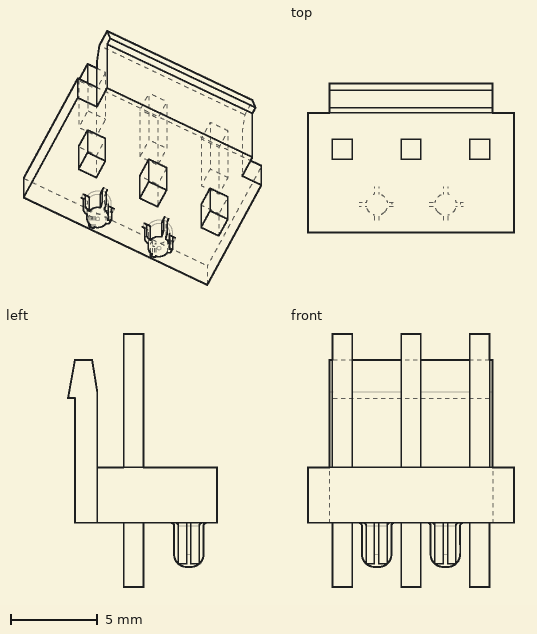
import cadquery as cq
import math


pin_count = 3
pitch = 3.96
pin_size = 1.15
pin_height_above_base = 7.7
pin_length_below_base = 3.7
pin_y = 4.81

base_length = pin_count * pitch
base_depth = 6.9
base_height = 3.2

wall_length = 9.4
wall_thickness = 1.3
wall_height_above_base = 6.2
wall_taper_height = 1.85
wall_taper_depth = 0.3
barb_height = 2.2
barb_depth = 0.4

peg_count = pin_count - 1
peg_y = 1.63
peg_length = 2.55
peg_radius = 0.86
peg_core_radius = 0.62
peg_rib_width = 0.25
peg_tip_radius = 0.75
peg_root_fillet = 0.15


def row_positions(count, y):
    """Points spaced one pitch apart and centred on X = 0."""
    return [((i - (count - 1) / 2) * pitch, y) for i in range(count)]


def make_base():
    return cq.Workplane("XY").box(
        base_length, base_depth, base_height, centered=(True, False, False)
    )


def make_wall():
    """Upright wall with a tapered inner top edge and an outward barb."""
    inner_y = base_depth
    outer_y = base_depth + wall_thickness
    top_z = base_height + wall_height_above_base
    barb_z = top_z - barb_height
    profile = [
        (inner_y, 0),
        (outer_y, 0),
        (outer_y, barb_z),
        (outer_y + barb_depth, barb_z),
        (outer_y, top_z),
        (inner_y + wall_taper_depth, top_z),
        (inner_y, top_z - wall_taper_height),
    ]
    return cq.Workplane("YZ").polyline(profile).close().extrude(wall_length / 2, both=True)


def make_pins():
    """Square pins passing through the base."""
    pin_length = pin_length_below_base + base_height + pin_height_above_base
    return (
        cq.Workplane("XY", origin=(0, 0, -pin_length_below_base))
        .pushPoints(row_positions(pin_count, pin_y))
        .rect(pin_size, pin_size)
        .extrude(pin_length)
    )


def make_flared_cylinder(radius):
    """Cylinder hanging below Z = 0 whose root widens through a concave fillet."""
    flare_radius = radius + peg_root_fillet
    arc_reach = peg_root_fillet * math.cos(math.pi / 4)
    arc_mid = (flare_radius - arc_reach, arc_reach - peg_root_fillet)
    return (
        cq.Workplane("XZ")
        .lineTo(flare_radius, 0)
        .threePointArc(arc_mid, (radius, -peg_root_fillet))
        .lineTo(radius, -peg_length)
        .lineTo(0, -peg_length)
        .close()
        .revolve(360, (0, 0), (0, 1))
    )


def make_peg():
    """Core with four flat-sided ribs, trimmed to a flared envelope with a rounded tip."""
    core = make_flared_cylinder(peg_core_radius)
    envelope = make_flared_cylinder(peg_radius).faces("<Z").edges().fillet(peg_tip_radius)
    rib_span = 2 * (peg_radius + peg_root_fillet)
    ribs_along_x = cq.Workplane("XY").rect(rib_span, peg_rib_width).extrude(-peg_length)
    ribs_along_y = cq.Workplane("XY").rect(peg_rib_width, rib_span).extrude(-peg_length)
    return core.union(ribs_along_x).union(ribs_along_y).intersect(envelope)


peg = make_peg()
result = make_base().union(make_wall()).union(make_pins())
for x, y in row_positions(peg_count, peg_y):
    result = result.union(peg.translate((x, y, 0)))